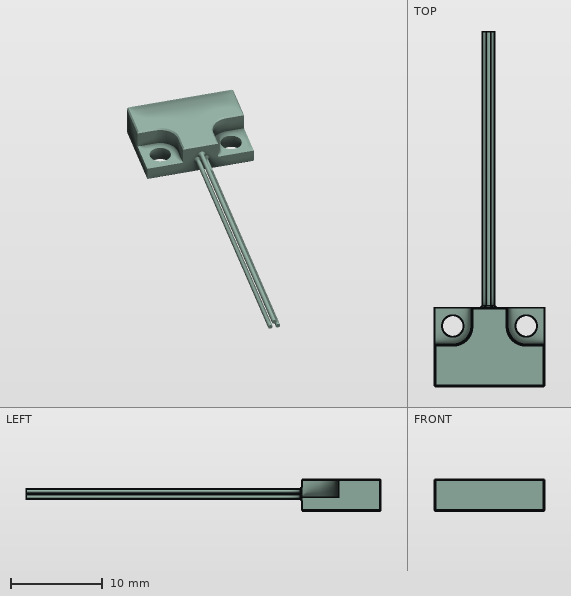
import cadquery as cq

total_length = 38.6
body_width = 12.0
body_depth = 8.6
body_height = 3.5
edge_chamfer = 0.15

lug_height = 1.55
lug_size = 4.0
hole_diameter = 2.3
notch_radius = lug_size / 2
hole_x = body_width / 2 - lug_size / 2
hole_y = body_depth - lug_size / 2

wire_diameter = 0.5
wire_radius = wire_diameter / 2
bundle_x = -0.1
lower_wire_z = 1.6
bundle_rise = 0.6
lower_spacing = 0.85
wire_centres = [
    (bundle_x - lower_spacing / 2, lower_wire_z),
    (bundle_x + lower_spacing / 2, lower_wire_z),
    (bundle_x, lower_wire_z + bundle_rise),
]
wire_embed = 0.4

collar_length = 0.2
collar_flare = 0.2


def lug_notch(side):
    """Space above one lug, rounded at its inner corner; side is -1 or 1."""
    notch = (
        cq.Workplane("XY", origin=(side * hole_x, hole_y, lug_height))
        .rect(lug_size, lug_size)
        .extrude(body_height - lug_height)
    )
    inner_edge = cq.selectors.NearestToPointSelector(
        (side * (hole_x - lug_size / 2), hole_y - lug_size / 2, (lug_height + body_height) / 2)
    )
    return notch.edges("|Z").edges(inner_edge).fillet(notch_radius)


def housing():
    body = cq.Workplane("XY").box(body_width, body_depth, body_height, centered=(True, False, False))
    for side in (-1, 1):
        body = body.cut(lug_notch(side))
    body = body.faces(">Z or <Z or <Y").edges().chamfer(edge_chamfer)
    for side in (-1, 1):
        hole = cq.Workplane("XY").center(side * hole_x, hole_y).circle(hole_diameter / 2).extrude(body_height)
        body = body.cut(hole)
    return body


def wire(x, z):
    """One straight wire with its share of the flared collar."""
    start = cq.Vector(x, body_depth - wire_embed, z)
    along_y = cq.Vector(0, 1, 0)
    length = total_length - body_depth + wire_embed
    strand = cq.Solid.makeCylinder(wire_radius, length, start, along_y)
    collar = cq.Solid.makeCone(
        wire_radius + collar_flare,
        wire_radius,
        collar_length,
        cq.Vector(x, body_depth, z),
        along_y,
    )
    return cq.Workplane(obj=strand).union(cq.Workplane(obj=collar))


result = housing()
for wire_x, wire_z in wire_centres:
    result = result.union(wire(wire_x, wire_z))